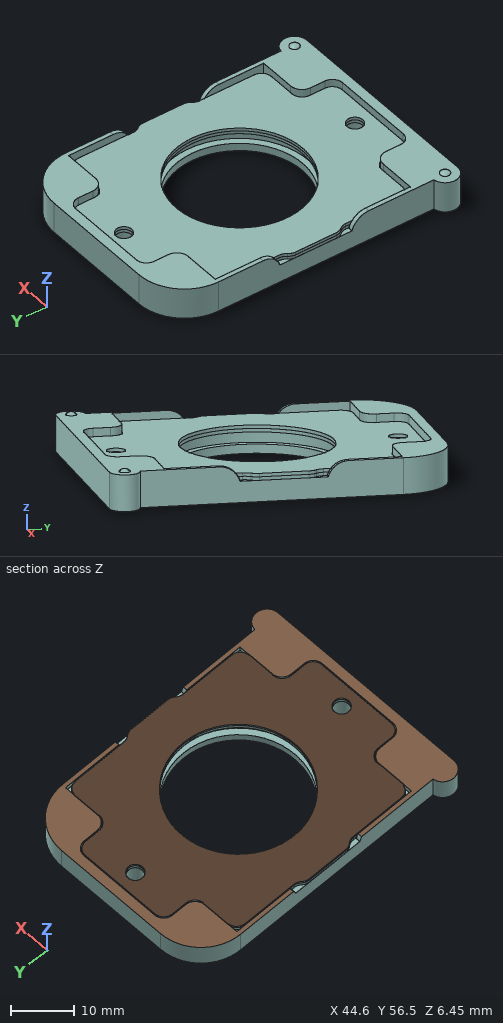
import cadquery as cq
import math

length = 56.45
overall_width = 44.6
frame_width = 40.3
frame_height = 6.0
end_radius = 9.0
ear_radius = 2.5
ear_x = overall_width / 2 - ear_radius
ear_y = ear_radius - length / 2
ear_centers = [(-ear_x, ear_y), (ear_x, ear_y)]

bump_height = 0.45
ball_radius = 1.15

plate_count = 2
plate_thickness = 0.55
pocket_floor = 3.5
pocket_depth = frame_height - pocket_floor
clearance = 0.1
body_half_width = 19.3
body_half_length = 19.25
tongue_half_width = 9.95
tongue_half_length = 26.3
corner_radius = 2.0
pocket_inner_radius = 2.25

tab_half_width = 4.0

notch_half_width = 10.45
notch_radius = 3.5

bore_diameter = 24.9
seat_diameter = 27.4
ledge_thickness = 1.5
small_hole_diameter = 3.0
small_hole_y = 22.8


def plain_box(width, depth, height):
    """Box centred on the Z axis, standing on Z = 0."""
    return cq.Workplane("XY").box(width, depth, height, centered=(True, True, False))


def cross(body, gap, inner_radius, height):
    """Body with a rounded tongue at both Y ends; the tongues are smaller by gap all round."""
    tongues = plain_box(2 * (tongue_half_width - gap), 2 * (tongue_half_length - gap), height)
    tongues = tongues.edges("|Z").fillet(corner_radius)

    margin = clearance
    inner_corners = cq.selectors.BoxSelector(
        (-tongue_half_width - margin, -body_half_length - margin, -margin),
        (tongue_half_width + margin, body_half_length + margin, height + margin),
    )
    return body.union(tongues).edges("|Z").edges(inner_corners).fillet(inner_radius)


def through_holes():
    """Cutter for the bore and the two small holes on the long axis."""
    bore = cq.Workplane("XY").circle(bore_diameter / 2).extrude(frame_height)
    small_hole_centers = [(0, small_hole_y), (0, -small_hole_y)]
    small_holes = cq.Workplane("XY").pushPoints(small_hole_centers)
    return bore.union(small_holes.circle(small_hole_diameter / 2).extrude(frame_height))


def frame_block():
    """Outer shape of the frame: rounded plate, bar between the ears, and the ears."""
    main_length = length / 2 - ear_y
    main = plain_box(frame_width, main_length, frame_height).translate((0, ear_y + main_length / 2, 0))
    main = main.edges("|Z and >Y").fillet(end_radius)
    bar = plain_box(2 * ear_x, ear_radius, frame_height).translate((0, ear_y - ear_radius / 2, 0))
    ears = cq.Workplane("XY").pushPoints(ear_centers).circle(ear_radius).extrude(frame_height)
    return main.union(bar).union(ears)


def bumps():
    """Balls sunk into the ears so that only their caps stand out."""
    ball_z = frame_height + bump_height - ball_radius
    return cq.Workplane("XY").workplane(offset=ball_z).pushPoints(ear_centers).sphere(ball_radius)


def side_notches():
    """Cutter that runs across the frame and opens both sides down to the pocket floor."""
    rise_from_center = notch_radius - pocket_depth
    floor_half_width = notch_half_width - math.sqrt(notch_radius**2 - rise_from_center**2)
    return (
        cq.Workplane("YZ")
        .moveTo(-floor_half_width, pocket_floor)
        .lineTo(floor_half_width, pocket_floor)
        .radiusArc((notch_half_width, frame_height), notch_radius)
        .lineTo(-notch_half_width, frame_height)
        .radiusArc((-floor_half_width, pocket_floor), notch_radius)
        .close()
        .extrude(frame_width / 2, both=True)
    )


def make_frame():
    body = plain_box(2 * body_half_width, 2 * body_half_length, pocket_depth)
    pocket = cross(body, 0, pocket_inner_radius, pocket_depth).translate((0, 0, pocket_floor))
    seat = cq.Workplane("XY").circle(seat_diameter / 2).extrude(frame_height - ledge_thickness)
    seat = seat.translate((0, 0, ledge_thickness))
    frame = frame_block().union(bumps())
    return frame.cut(pocket).cut(side_notches()).cut(seat).cut(through_holes())


def tab_strip():
    """Strip across the plate that ends in both tabs, with S-shaped tab flanks."""
    root_x = body_half_width - clearance
    tip_x = frame_width / 2
    mid_x = (root_x + tip_x) / 2
    arc_reach = mid_x - root_x
    arc_run = math.sqrt(corner_radius**2 - (corner_radius - arc_reach) ** 2)
    mid_y = tab_half_width + arc_run
    root_y = mid_y + arc_run
    return (
        cq.Workplane("XY")
        .moveTo(-root_x, -root_y)
        .lineTo(root_x, -root_y)
        .radiusArc((mid_x, -mid_y), corner_radius)
        .radiusArc((tip_x, -tab_half_width), -corner_radius)
        .lineTo(tip_x, tab_half_width)
        .radiusArc((mid_x, mid_y), -corner_radius)
        .radiusArc((root_x, root_y), corner_radius)
        .lineTo(-root_x, root_y)
        .radiusArc((-mid_x, mid_y), corner_radius)
        .radiusArc((-tip_x, tab_half_width), -corner_radius)
        .lineTo(-tip_x, -tab_half_width)
        .radiusArc((-mid_x, -mid_y), -corner_radius)
        .radiusArc((-root_x, -root_y), corner_radius)
        .close()
        .extrude(plate_thickness)
    )


def make_plate(level):
    """One plate of the stack; level 0 lies on the pocket floor."""
    body = plain_box(2 * (body_half_width - clearance), 2 * body_half_length, plate_thickness)
    body = body.edges("|Z").fillet(corner_radius)
    plate = cross(body, clearance, corner_radius, plate_thickness)
    plate = plate.union(tab_strip()).cut(through_holes())
    return plate.translate((0, 0, pocket_floor + level * plate_thickness))


frame = make_frame()
plates = [make_plate(level) for level in range(plate_count)]

result = cq.Compound.makeCompound([*frame.solids().vals(), *[plate.solids().val() for plate in plates]])